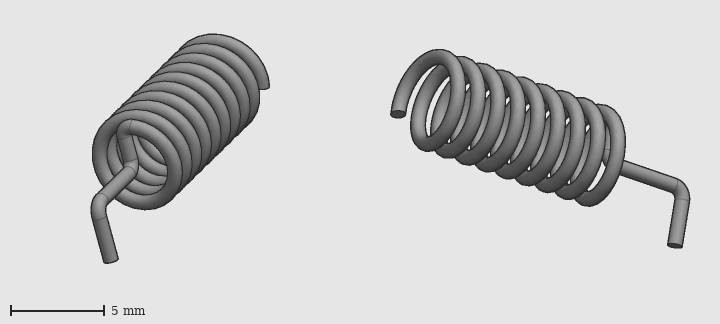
import cadquery as cq
import math

overall_length = 17.84
wire_diameter = 0.8
coil_outer_diameter = 5.5
pitch = 1.3
turns = 9.25
wire_radius = wire_diameter / 2
coil_radius = (coil_outer_diameter - wire_diameter) / 2

lead_tilt = math.radians(15.7)
crown_bend_radius = 0.5
inner_bend_radius = 0.6
foot_bend_radius = 0.7
lead_reach = overall_length - pitch * turns - wire_diameter
run_height = -0.15
lead_bottom = -3.35

lead_down = cq.Vector(math.sin(lead_tilt), 0, -math.cos(lead_tilt))
forward = cq.Vector(0, -1, 0)
crown_start = cq.Vector(0, 0, coil_radius)
crown_center = crown_start - cq.Vector(0, 0, crown_bend_radius)


def on_crown(angle):
    """Point on the crown bend, turned by angle from its top toward -X."""
    return crown_center + cq.Vector(-math.sin(angle), 0, math.cos(angle)) * crown_bend_radius


def bend_edges(previous, corner, direction_in, direction_out, radius):
    """Straight line toward a right-angle corner, then the quarter arc that rounds it."""
    start = corner - direction_in * radius
    end = corner + direction_out * radius
    center = start + direction_out * radius
    middle = center + (direction_in - direction_out).normalized() * radius
    return [
        cq.Edge.makeLine(previous, start),
        cq.Edge.makeThreePointArc(start, middle, end),
    ]


def make_coil():
    """Helix around Y, swept with the round wire section."""
    axis_plane = cq.Plane(origin=(0, 0, 0), xDir=(0, 0, 1), normal=(0, 1, 0))
    helix = cq.Wire.makeHelix(pitch, pitch * turns, coil_radius)
    path = cq.Workplane(axis_plane).newObject([helix.moved(cq.Location(axis_plane))])
    section = cq.Workplane("YZ", origin=crown_start.toTuple()).circle(wire_radius)
    return section.sweep(path, isFrenet=True)


def make_lead():
    """Crown bend, upper leg, forward run and lower leg as one swept wire."""
    crown_turn = math.pi / 2 + lead_tilt
    crown_end = on_crown(crown_turn)
    inner_corner = crown_end + lead_down * ((crown_end.z - run_height) / math.cos(lead_tilt))
    foot_corner = inner_corner + forward * lead_reach
    tip_height = lead_bottom + wire_radius * math.sin(lead_tilt)
    tip = foot_corner + lead_down * ((run_height - tip_height) / math.cos(lead_tilt))

    edges = [
        cq.Edge.makeThreePointArc(crown_start, on_crown(crown_turn / 2), crown_end),
        *bend_edges(crown_end, inner_corner, lead_down, forward, inner_bend_radius),
    ]
    edges += bend_edges(edges[-1].endPoint(), foot_corner, forward, lead_down, foot_bend_radius)
    edges.append(cq.Edge.makeLine(edges[-1].endPoint(), tip))
    path = cq.Workplane().newObject([cq.Wire.assembleEdges(edges)])
    section = cq.Workplane("YZ", origin=crown_start.toTuple()).circle(wire_radius)
    return section.sweep(path)


result = make_coil().union(make_lead())